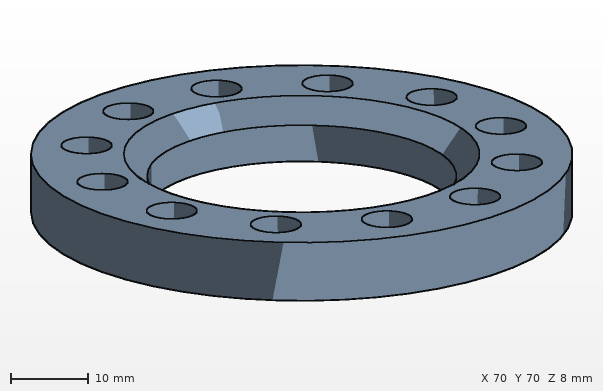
import cadquery as cq

outer_diameter = 70.0
thickness = 8.0
bore_diameter = 40.0
bore_chamfer = 3.0

bolt_circle_diameter = 56.0
bolt_hole_diameter = 6.5
bolt_hole_count = 12


def ring():
    """Flat ring standing on the XY plane, with its bore chamfered at the top."""
    body = (
        cq.Workplane("XY")
        .circle(outer_diameter / 2)
        .circle(bore_diameter / 2)
        .extrude(thickness)
    )
    top_bore_edge = cq.selectors.RadiusNthSelector(0)
    return body.faces(">Z").edges(top_bore_edge).chamfer(bore_chamfer)


def bolt_holes():
    """Equally spaced through-hole cylinders, the first one on the +X axis."""
    return (
        cq.Workplane("XY")
        .polarArray(bolt_circle_diameter / 2, 0, 360, bolt_hole_count)
        .circle(bolt_hole_diameter / 2)
        .extrude(thickness)
    )


result = ring().cut(bolt_holes())